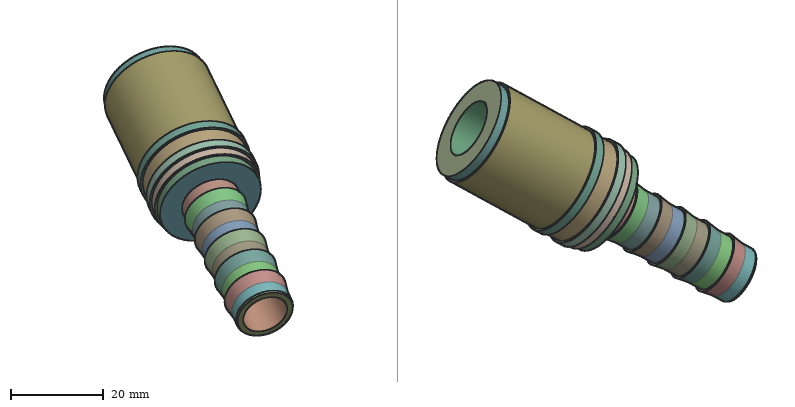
import cadquery as cq

total_length = 73.0
body_length = 37.0
ring_radius = 12.5
radial_step = 0.5
body_radius = ring_radius - radial_step
end_radius = body_radius - radial_step
end_length = 2.05

first_ring_start = 25.0
first_ring_width = 2.05
second_ring_start = 30.95
second_ring_width = 2.05

tail_radius = 6.5
barb_radius = 7.0
barb_count = 5
tip_chamfer_length = 0.45
tip_chamfer_height = 0.2

socket_radius = 6.5
socket_depth = first_ring_start
bore_radius = 5.0

tail_length = total_length - body_length
section_length = tail_length / (2 * barb_count + 1)


def cylinder(start, length, radius):
    """Solid cylinder along X."""
    return cq.Workplane("YZ", origin=(start, 0, 0)).circle(radius).extrude(length)


def stepped_body():
    """Main sleeve with a reduced lip at each end and two raised rings."""
    body = cylinder(0, body_length, end_radius)
    body = body.union(cylinder(end_length, body_length - 2 * end_length, body_radius))
    body = body.union(cylinder(first_ring_start, first_ring_width, ring_radius))
    return body.union(cylinder(second_ring_start, second_ring_width, ring_radius))


def barbed_tail():
    """Hose tail whose barbs taper down towards the chamfered tip."""
    profile = cq.Workplane("XZ").moveTo(body_length, 0).lineTo(body_length, tail_radius)
    for index in range(barb_count):
        barb_start = body_length + (2 * index + 1) * section_length
        profile = (
            profile.lineTo(barb_start, tail_radius)
            .lineTo(barb_start, barb_radius)
            .lineTo(barb_start + section_length, tail_radius)
        )
    return (
        profile.lineTo(total_length - tip_chamfer_length, tail_radius)
        .lineTo(total_length, tail_radius - tip_chamfer_height)
        .lineTo(total_length, 0)
        .close()
        .revolve(360, (0, 0, 0), (1, 0, 0))
    )


socket = cylinder(0, socket_depth, socket_radius)
bore = cylinder(0, total_length, bore_radius)

result = stepped_body().union(barbed_tail()).cut(socket).cut(bore)